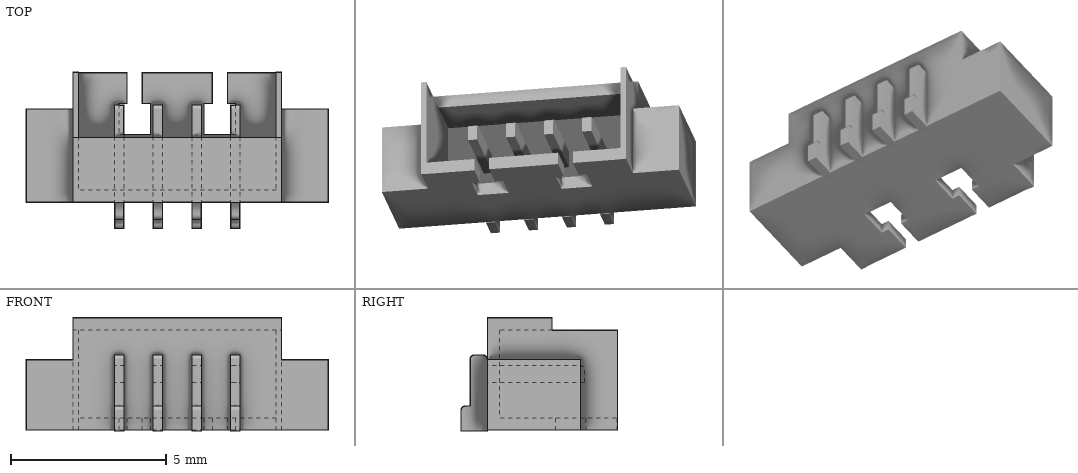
import cadquery as cq


overall_length = 9.75
ear_depth = 3.01
ear_height = 2.27
block_length = 6.73
roof_depth = 2.1
block_depth = 4.2
block_height = 3.63
roof_thickness = 0.4
side_wall_height = block_height - roof_thickness

side_wall_thickness = 0.18
floor_thickness = 0.4
back_wall_thickness = 0.4
floor_setback = 0.02

slot_offset = 1.37
slot_start = 2.19
slot_wide_end = 3.19
slot_wide_width = 1.01
slot_mouth_width = 0.49

pin_count = 4
pin_pitch = 1.25
pin_width = 0.3
pin_drop = 0.03
post_depth = 0.56
post_top = 2.43
foot_depth = 0.85
foot_top = 0.78
arm_end = 3.14
arm_height = 0.55
arm_middle = (floor_thickness + side_wall_height) / 2
arm_bottom = arm_middle - arm_height / 2
arm_top = arm_middle + arm_height / 2
pin_corner_radius = 0.15


def box_between(x_span, y_span, z_span):
    """Axis-aligned box given by its lower and upper limit on each axis."""
    return (
        cq.Workplane("XY")
        .box(x_span[1] - x_span[0], y_span[1] - y_span[0], z_span[1] - z_span[0], centered=False)
        .translate((x_span[0], y_span[0], z_span[0]))
    )


def centered_span(width, middle=0.0):
    return (middle - width / 2, middle + width / 2)


def make_outer_shape():
    """Ears on both sides of a block whose roof covers only the rear part."""
    ears = box_between(centered_span(overall_length), (0, ear_depth), (0, ear_height))
    rear_block = box_between(centered_span(block_length), (0, roof_depth), (0, block_height))
    front_block = box_between(centered_span(block_length), (0, block_depth), (0, side_wall_height))
    return ears.union(rear_block).union(front_block)


def make_cavity():
    """Mating space under the roof, open at the top beyond it and at the front."""
    cavity_span = centered_span(block_length - 2 * side_wall_thickness)
    cavity = box_between(
        cavity_span, (back_wall_thickness, block_depth), (floor_thickness, side_wall_height)
    )
    floor_end_gap = box_between(
        cavity_span, (block_depth - floor_setback, block_depth), (0, floor_thickness)
    )
    return cavity.union(floor_end_gap)


def make_floor_slot(middle):
    """T-shaped slot: wide inside, with a narrow mouth at the front of the floor."""
    wide_part = box_between(
        centered_span(slot_wide_width, middle), (slot_start, slot_wide_end), (0, floor_thickness)
    )
    mouth = box_between(
        centered_span(slot_mouth_width, middle), (slot_start, block_depth), (0, floor_thickness)
    )
    return wide_part.union(mouth)


def make_pin(middle):
    """Flat pin: a foot and post outside the back wall, and an arm through it into the cavity."""
    left, right = centered_span(pin_width, middle)
    post = box_between((left, right), (-post_depth, 0), (-pin_drop, post_top))
    post = post.edges("|X and >Z").fillet(pin_corner_radius)
    foot = box_between((left, right), (-foot_depth, 0), (-pin_drop, foot_top))
    foot = foot.edges("|X and >Z and <Y").fillet(pin_corner_radius)
    arm = box_between((left, right), (-post_depth, arm_end), (arm_bottom, arm_top))
    arm = arm.edges("|X and >Y and >Z").fillet(pin_corner_radius)
    return post.union(foot).union(arm)


def make_arm_hole(middle):
    """Hole through the back wall that the arm of a pin fills."""
    return box_between(
        centered_span(pin_width, middle), (0, back_wall_thickness), (arm_bottom, arm_top)
    )


pin_middles = [(i - (pin_count - 1) / 2) * pin_pitch for i in range(pin_count)]

housing = make_outer_shape().cut(make_cavity())
for slot_middle in (-slot_offset, slot_offset):
    housing = housing.cut(make_floor_slot(slot_middle))
for pin_middle in pin_middles:
    housing = housing.cut(make_arm_hole(pin_middle))

pins = [make_pin(pin_middle) for pin_middle in pin_middles]

result = cq.Compound.makeCompound([housing.val(), *[pin.val() for pin in pins]])